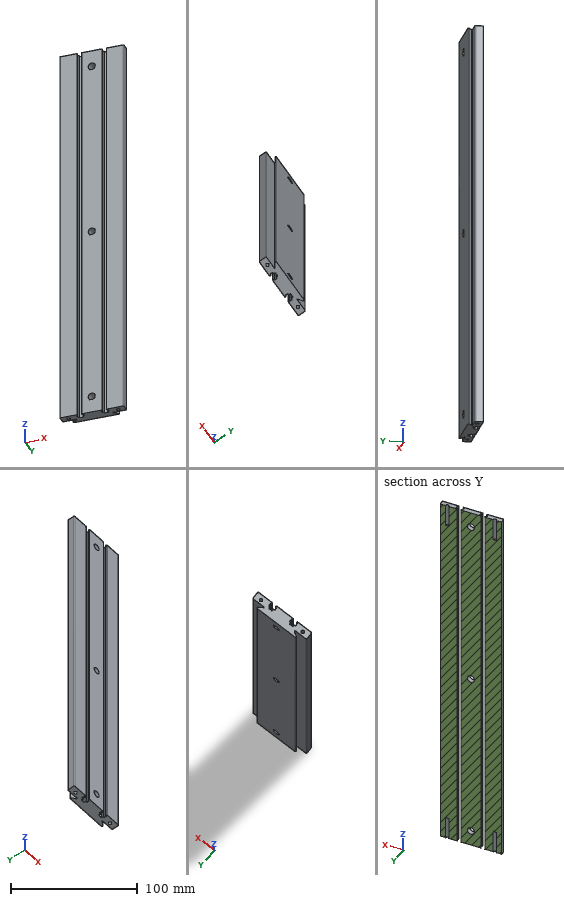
import cadquery as cq

length = 328.0
base_width = 54.0
total_thickness = 11.0
base_thickness = 7.0
edge_radius = 0.5

dovetail_width = 39.0
neck_width = 31.0
dovetail_land = 1.0
neck_height = 0.5

slot_offset = 10.5
mouth_width = 4.0
chamber_width = 6.0
lip_thickness = 1.3
chamber_top = 3.5
relief_width = 3.3
slot_depth = 5.2

mount_diameter = 6.0
mount_pitch = 150.0

end_hole_diameter = 2.5
end_hole_offset = 21.0
end_hole_height = 4.0
end_hole_depth = 19.7

front_y = -total_thickness / 2
SIDES = (-1, 1)


def mirrored_profile(right_half):
    """Closed XY wire from its right half, listed front to back."""
    left_half = [(-x, y) for x, y in reversed(right_half)]
    return cq.Workplane("XY").polyline(right_half + left_half).close()


def make_body():
    base_half = base_width / 2
    tip_half = dovetail_width / 2
    back_y = total_thickness / 2
    shoulder_y = front_y + base_thickness
    right_half = [
        (base_half, front_y),
        (base_half, shoulder_y),
        (neck_width / 2, shoulder_y),
        (neck_width / 2, shoulder_y + neck_height),
        (tip_half, back_y - dovetail_land),
        (tip_half, back_y),
    ]
    body = mirrored_profile(right_half).extrude(length / 2, both=True)
    rounded_corners = [(base_half, front_y), (base_half, shoulder_y), (tip_half, back_y)]
    for x, y in rounded_corners:
        for side in SIDES:
            corner_edge = cq.selectors.NearestToPointSelector((side * x, y, 0))
            body = body.edges("|Z").edges(corner_edge).fillet(edge_radius)
    return body


def make_slot():
    mouth_half = mouth_width / 2
    chamber_half = chamber_width / 2
    right_half = [
        (mouth_half, front_y),
        (mouth_half, front_y + lip_thickness),
        (chamber_half, front_y + lip_thickness),
        (chamber_half, front_y + chamber_top),
        (relief_width / 2, front_y + chamber_top),
        (relief_width / 2, front_y + slot_depth),
    ]
    return mirrored_profile(right_half).extrude(length / 2, both=True)


def make_mount_holes():
    return (
        cq.Workplane("XZ")
        .pushPoints([(0, -mount_pitch), (0, 0), (0, mount_pitch)])
        .circle(mount_diameter / 2)
        .extrude(total_thickness, both=True)
    )


def make_end_holes(end):
    """Pair of blind holes going inward from the top (1) or bottom (-1) end."""
    centers = [(side * end_hole_offset, front_y + end_hole_height) for side in SIDES]
    return (
        cq.Workplane("XY", origin=(0, 0, end * length / 2))
        .pushPoints(centers)
        .circle(end_hole_diameter / 2)
        .extrude(-end * end_hole_depth)
    )


result = make_body().cut(make_mount_holes())
for side in SIDES:
    result = result.cut(make_slot().translate((side * slot_offset, 0, 0)))
for end in SIDES:
    result = result.cut(make_end_holes(end))